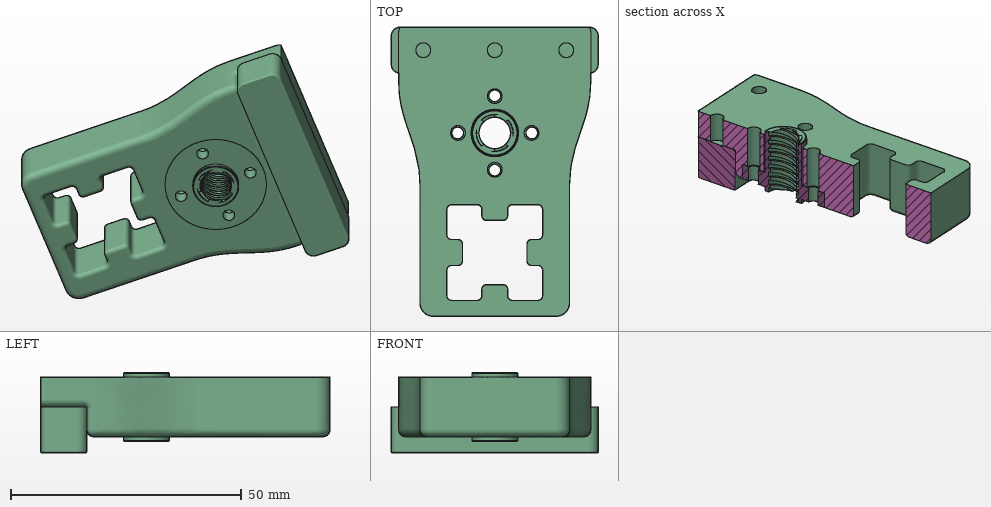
import cadquery as cq
import math


length = 62.85
rear_y = 23.0
front_y = rear_y - length
rear_width = 41.75
front_width = 32.55
thickness = 12.95
neck_rear_y = 11.0
neck_front_y = -11.0
corner_radius = 3.0
rear_arc_length = 1.25
bottom_edge_radius = 1.5

bar_length = 45.0
bar_depth = 10.05
bar_height = 10.0
bar_bottom_z = -3.5
bar_corner_radius = 2.0
bar_bottom_edge_radius = 0.4
bar_top_z = bar_bottom_z + bar_height
recess_corner_radius = 0.55
recess_front_y = rear_y - bar_depth

bar_hole_diameter = 3.2
bar_hole_count = 3
bar_hole_spacing = 15.5
bar_hole_y = rear_y - bar_depth / 2

nut_length = 14.95
nut_diameter = 10.0
nut_bottom_z = -1.0
nut_chamfer = 0.2
nut_bore_clearance = 0.3
thread_minor_diameter = 6.8
thread_major_diameter = 8.05
thread_starts = 4
thread_lead = 8.0
groove_angle = 45.0
flange_diameter = 22.0
flange_thickness = 3.5

nut_hole_count = 4
nut_hole_circle_radius = 8.0
nut_hole_diameter = 3.2
flange_hole_circle_radius = 8.05
flange_hole_diameter = 2.5

cross_y = -25.95
cross_size = 20.75
tab_width = 5.65
tab_depth = 3.4
cross_corner_radius = 1.0
cross_edge_radius = 0.95

OVERCUT = 0.6
EDGE_MARGIN = 0.05


def housing_blank():
    """Plate with an S-shaped neck, longer at the rear than the finished housing."""
    blank_rear_y = rear_y + corner_radius - rear_arc_length
    rear_x = rear_width / 2
    front_x = front_width / 2
    return (
        cq.Workplane("XY")
        .moveTo(-rear_x, blank_rear_y)
        .lineTo(rear_x, blank_rear_y)
        .lineTo(rear_x, neck_rear_y)
        .spline([(front_x, neck_front_y)], tangents=[(0, -1), (0, -1)], includeCurrent=True)
        .lineTo(front_x, front_y)
        .lineTo(-front_x, front_y)
        .lineTo(-front_x, neck_front_y)
        .spline([(-rear_x, neck_rear_y)], tangents=[(0, 1), (0, 1)], includeCurrent=True)
        .close()
        .extrude(thickness)
        .edges("|Z and (<Y or >Y)")
        .fillet(corner_radius)
    )


def bar_recess():
    """Step under the rear of the housing, rounded in its inner corner."""
    reach = bar_depth + 2 * corner_radius
    return (
        cq.Workplane("XY")
        .box(bar_length, reach, bar_top_z + OVERCUT, centered=(True, False, False))
        .translate((0, recess_front_y, -OVERCUT))
        .edges("|X and <Y and >Z")
        .fillet(recess_corner_radius)
    )


def cross_opening():
    """Square with one tab standing in from the middle of each side."""
    opening = cq.Workplane("XY").rect(cross_size, cross_size).extrude(thickness)
    tab_offset = (cross_size - tab_depth) / 2
    tabs = (
        cq.Workplane("XY")
        .pushPoints([(-tab_offset, 0), (tab_offset, 0)])
        .rect(tab_depth, tab_width)
        .pushPoints([(0, -tab_offset), (0, tab_offset)])
        .rect(tab_width, tab_depth)
        .extrude(thickness)
    )
    return opening.cut(tabs).edges("|Z").fillet(cross_corner_radius).translate((0, cross_y, 0))


def rounded_housing_body():
    """Blank with its recess, with the lower outer edges rounded and the rear cut off flat."""
    body = housing_blank().cut(bar_recess())
    ledge_sides = [
        cq.selectors.BoxSelector(
            (side * bar_length / 2, recess_front_y - EDGE_MARGIN, EDGE_MARGIN),
            (side * front_width / 2, rear_y + corner_radius, bar_top_z + EDGE_MARGIN),
        )
        for side in (-1, 1)
    ]
    underside = cq.selectors.BoxSelector(
        (-bar_length, front_y - OVERCUT, -EDGE_MARGIN),
        (bar_length, recess_front_y + EDGE_MARGIN, EDGE_MARGIN),
    )
    body = body.edges(underside + ledge_sides[0] + ledge_sides[1]).fillet(bottom_edge_radius)
    return body.intersect(
        cq.Workplane("XY")
        .box(bar_length, length, thickness, centered=(True, False, False))
        .translate((0, front_y, 0))
    )


def make_housing():
    """Housing with the nut's bore and flange pocket, the screw holes and the cross opening."""
    nut_bore = cq.Workplane("XY").circle((nut_diameter + nut_bore_clearance) / 2).extrude(thickness)
    flange_pocket = cq.Workplane("XY").circle(flange_diameter / 2).extrude(flange_thickness)
    nut_holes = (
        cq.Workplane("XY")
        .polarArray(nut_hole_circle_radius, 0, 360, nut_hole_count)
        .circle(nut_hole_diameter / 2)
        .extrude(thickness)
    )
    bar_holes = (
        cq.Workplane("XY", origin=(0, bar_hole_y, bar_top_z))
        .rarray(bar_hole_spacing, 0.6, bar_hole_count, 1)
        .circle(bar_hole_diameter / 2)
        .extrude(thickness)
    )
    housing = rounded_housing_body().cut(nut_bore).cut(flange_pocket)
    housing = housing.cut(nut_holes).cut(bar_holes).cut(cross_opening())
    cross_underside_edges = cq.selectors.BoxSelector(
        (-cross_size / 2 - EDGE_MARGIN, cross_y - cross_size / 2 - EDGE_MARGIN, -EDGE_MARGIN),
        (cross_size / 2 + EDGE_MARGIN, cross_y + cross_size / 2 + EDGE_MARGIN, EDGE_MARGIN),
    )
    return housing.edges(cross_underside_edges).fillet(cross_edge_radius)


def make_bar(housing):
    """Block with rounded corners, its top front edge eased to fit the recess of the housing."""
    bar = (
        cq.Workplane("XY")
        .box(bar_length, bar_depth, bar_height, centered=(True, False, False))
        .translate((0, recess_front_y, bar_bottom_z))
        .edges("|Z")
        .fillet(bar_corner_radius)
        .faces("<Z")
        .edges()
        .fillet(bar_bottom_edge_radius)
    )
    return bar.cut(housing)


def nut_thread():
    """Multi-start right-handed bore: a core with one twisted groove for each start."""
    minor_radius = thread_minor_diameter / 2
    major_radius = thread_major_diameter / 2
    turn = 360 * nut_length / thread_lead
    end = math.radians(groove_angle)
    groove = (
        cq.Workplane("XY")
        .lineTo(major_radius, 0)
        .threePointArc(
            (major_radius * math.cos(end / 2), major_radius * math.sin(end / 2)),
            (major_radius * math.cos(end), major_radius * math.sin(end)),
        )
        .close()
        .twistExtrude(nut_length, turn)
    )
    groove = groove.rotate((0, 0, 0), (0, 0, 1), -turn)
    bore = cq.Workplane("XY").circle(minor_radius).extrude(nut_length)
    for start in range(thread_starts):
        bore = bore.union(groove.rotate((0, 0, 0), (0, 0, 1), start * 360 / thread_starts))
    return bore.translate((0, 0, nut_bottom_z))


def make_nut():
    """Threaded barrel with a drilled flange flush with the housing's underside."""
    barrel = (
        cq.Workplane("XY", origin=(0, 0, nut_bottom_z))
        .circle(nut_diameter / 2)
        .extrude(nut_length)
        .faces("<Z or >Z")
        .chamfer(nut_chamfer)
    )
    flange = cq.Workplane("XY").circle(flange_diameter / 2).extrude(flange_thickness)
    flange_holes = (
        cq.Workplane("XY")
        .polarArray(flange_hole_circle_radius, 0, 360, nut_hole_count)
        .circle(flange_hole_diameter / 2)
        .extrude(flange_thickness)
    )
    return barrel.union(flange.cut(flange_holes)).cut(nut_thread())


housing = make_housing()
bar = make_bar(housing)
nut = make_nut()
result = cq.Compound.makeCompound([housing.val(), bar.val(), nut.val()])